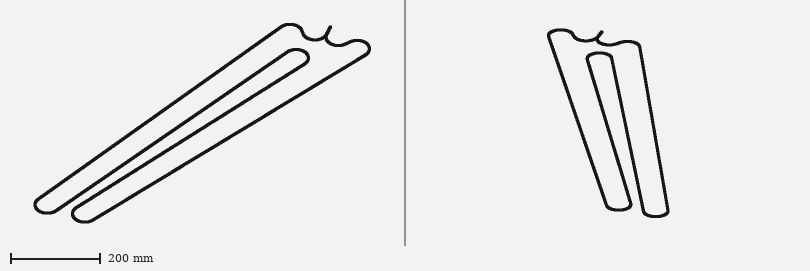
import cadquery as cq
import math

WIRE_DIAMETER = 2.1
OVERALL_LENGTH = 782
BEND_RADIUS = 27.0
STEM_TOP = 26.0
STEM_SPACING = 1.0
SHOULDER_Y = -22.0

CLOCKWISE = -1
COUNTERCLOCKWISE = 1

stem_x = STEM_SPACING / 2
neck_x = stem_x + BEND_RADIUS
lower_bend_y = STEM_TOP - OVERALL_LENGTH + BEND_RADIUS + WIRE_DIAMETER / 2

BENDS = [
    (-neck_x, 0, CLOCKWISE),
    (-79.0, SHOULDER_Y, COUNTERCLOCKWISE),
    (-407.0, lower_bend_y, COUNTERCLOCKWISE),
    (-39.0, -95.0, CLOCKWISE),
    (-318.5, lower_bend_y, COUNTERCLOCKWISE),
    (80.0, SHOULDER_Y, COUNTERCLOCKWISE),
    (neck_x, 0, CLOCKWISE),
]


def point_on_bend(bend, angle):
    """Point of a bend's centreline at the given polar angle."""
    x, y, _ = bend
    return (x + BEND_RADIUS * math.cos(angle), y + BEND_RADIUS * math.sin(angle))


def travel_angle(bend, next_bend):
    """Heading of the straight run tangent to two consecutive bends."""
    dx = next_bend[0] - bend[0]
    dy = next_bend[1] - bend[1]
    side_shift = BEND_RADIUS * (next_bend[2] - bend[2])
    return math.atan2(dy, dx) - math.asin(side_shift / math.hypot(dx, dy))


def sweep_wire(path, start, heading):
    """Round wire along a path that begins at start with the given heading."""
    section_plane = cq.Plane(
        origin=(start[0], start[1], 0),
        xDir=(0, 0, 1),
        normal=(math.cos(heading), math.sin(heading), 0),
    )
    return cq.Workplane(section_plane).circle(WIRE_DIAMETER / 2).sweep(path)


def run_and_bend(start, bend, heading_in, heading_out):
    """Straight run from start into a bend; returns the solid and the bend's end point."""
    turn = bend[2]
    start_angle = heading_in - turn * math.pi / 2
    sweep_angle = turn * ((turn * (heading_out - heading_in)) % (2 * math.pi))
    middle = point_on_bend(bend, start_angle + sweep_angle / 2)
    end = point_on_bend(bend, start_angle + sweep_angle)
    path = (
        cq.Workplane("XY")
        .moveTo(*start)
        .lineTo(*point_on_bend(bend, start_angle))
        .threePointArc(middle, end)
    )
    return sweep_wire(path, start, heading_in), end


def bent_wire():
    """The whole wire, from the left stem end around every bend to the right stem end."""
    down = -math.pi / 2
    up = math.pi / 2
    run_headings = [travel_angle(bend, following) for bend, following in zip(BENDS, BENDS[1:])]
    headings = [down] + run_headings + [up]

    start = (-stem_x, STEM_TOP)
    sections = []
    for bend, heading_in, heading_out in zip(BENDS, headings, headings[1:]):
        section, start = run_and_bend(start, bend, heading_in, heading_out)
        sections.append(section)

    right_stem = cq.Workplane("XY").moveTo(*start).lineTo(stem_x, STEM_TOP)
    wire = sweep_wire(right_stem, start, up)
    for section in reversed(sections):
        wire = wire.union(section)
    return wire


result = bent_wire()